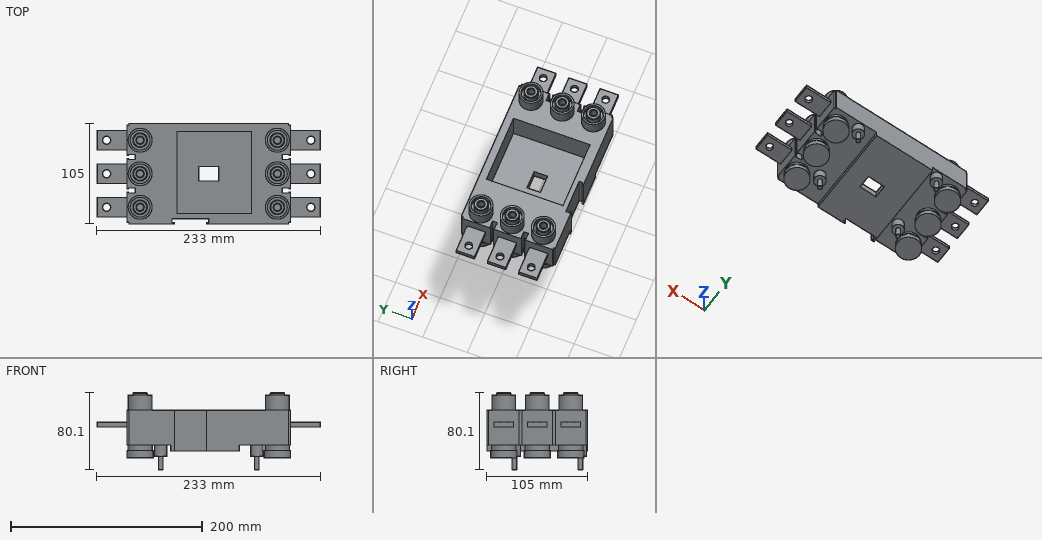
import cadquery as cq

overall_length = 233.0
body_length = 170.5
body_width = 105.0
body_height = 36.5
corner_step_x = 2.0
corner_step_y = 1.9

pad_left = -39.8
pad_right = 32.0
pad_depth = 6.3

pocket_left = -32.9
pocket_right = 44.5
pocket_front = -41.7
pocket_back = 44.0
pocket_floor = 3.5
window_length = 20.5
window_width = 15.0

groove_centre = -19.0
groove_mouth = 33.5
groove_inner = 38.2
groove_lip = 1.6
groove_depth = 5.5

pole_pitch = 35.0
pole_rows = [-pole_pitch, 0.0, pole_pitch]
ends = [-1, 1]

notch_mouth = 3.5
notch_inner = 5.1
notch_lip = 1.6
notch_depth = 8.6

bar_width = 20.5
bar_thickness = 5.1
bar_bottom = 18.9
bar_hole_diameter = 8.2
bar_hole_x = 106.5

post_x = 71.5
cup_diameter = 25.0
cup_bore = 20.7
cup_height = 15.5
cup_bore_depth = 5.1
tube_diameter = 15.1
tube_bore = 7.2
tube_rise = 2.5
tube_chamfer = 0.7
tube_bore_depth = 11.6
neck_diameter = 25.5
neck_height = 5.5
foot_diameter = 27.5
foot_height = 7.7

screw_x = 50.0
screw_rows = [-23.8, 45.0]
boss_diameter = 13.0
boss_height = 11.6
pin_diameter = 5.1
pin_length = 14.0
pin_chamfer = 0.5


def box(x_min, x_max, y_min, y_max, z_min, z_max):
    """Axis-aligned box between two corners."""
    size = (x_max - x_min, y_max - y_min, z_max - z_min)
    return cq.Workplane("XY").box(*size, centered=False).translate((x_min, y_min, z_min))


def cylinder(diameter, z_min, height):
    """Upright cylinder on the Z axis."""
    return cq.Workplane("XY").workplane(offset=z_min).circle(diameter / 2).extrude(height)


def make_block():
    half_length = body_length / 2
    half_width = body_width / 2
    block = box(-half_length, half_length, -half_width, half_width, 0, body_height)
    corner_cuts = (
        cq.Workplane("XY")
        .rect(body_length, body_width, forConstruction=True)
        .vertices()
        .rect(2 * corner_step_x, 2 * corner_step_y)
        .extrude(body_height)
    )
    pad = box(pad_left, pad_right, -half_width, half_width, -pad_depth, body_height)
    return block.cut(corner_cuts).union(pad)


def make_pocket():
    pocket = box(pocket_left, pocket_right, pocket_front, pocket_back, pocket_floor, body_height)
    window = cq.Workplane("XY").workplane(offset=-pad_depth).rect(window_length, window_width)
    return pocket.union(window.extrude(pad_depth + body_height))


def make_front_groove():
    face = -body_width / 2
    back = face + groove_depth

    def slot(width, front):
        left = groove_centre - width / 2
        return box(left, left + width, front, back, -pad_depth, body_height)

    return slot(groove_mouth, face).union(slot(groove_inner, face + groove_lip))


def make_notch(end, y):
    """T-shaped notch in one end face, running the full height of the block."""
    face = body_length / 2
    bottom = face - notch_depth
    mouth = box(bottom, face, y - notch_mouth / 2, y + notch_mouth / 2, 0, body_height)
    inner = box(bottom, face - notch_lip, y - notch_inner / 2, y + notch_inner / 2, 0, body_height)
    notch = mouth.union(inner)
    return notch if end > 0 else notch.mirror("YZ")


def make_bar(end, y):
    """Terminal bar that starts inside the block under its post."""
    bar = box(post_x, overall_length / 2, -bar_width / 2, bar_width / 2, bar_bottom, bar_bottom + bar_thickness)
    hole = cylinder(bar_hole_diameter, bar_bottom, bar_thickness).translate((bar_hole_x, 0, 0))
    bar = bar.cut(hole)
    if end < 0:
        bar = bar.mirror("YZ")
    return bar.translate((0, y, 0))


def make_post():
    cup_top = body_height + cup_height
    cup_floor = cup_top - cup_bore_depth
    tube_top = cup_top + tube_rise
    cup = cylinder(cup_diameter, body_height, cup_height).cut(cylinder(cup_bore, cup_floor, cup_bore_depth))
    tube = cylinder(tube_diameter, cup_floor, cup_bore_depth + tube_rise)
    bore = cylinder(tube_bore, tube_top - tube_bore_depth, tube_bore_depth)
    neck = cylinder(neck_diameter, -neck_height, neck_height)
    foot = cylinder(foot_diameter, -neck_height - foot_height, foot_height)
    upper = cup.union(tube).cut(bore).faces(">Z").edges().chamfer(tube_chamfer)
    return upper, neck.union(foot)


def make_screw():
    boss = cylinder(boss_diameter, -boss_height, boss_height)
    pin = cylinder(pin_diameter, -boss_height - pin_length, pin_length).faces("<Z").chamfer(pin_chamfer)
    return boss.union(pin)


result = make_block().cut(make_pocket()).cut(make_front_groove())

for end in ends:
    for notch_y in [-pole_pitch / 2, pole_pitch / 2]:
        result = result.cut(make_notch(end, notch_y))

post_top, post_foot = make_post()
screw = make_screw()
for end in ends:
    for row in pole_rows:
        result = result.union(make_bar(end, row))
        result = result.union(post_top.translate((end * post_x, row, 0)))
        result = result.union(post_foot.translate((end * post_x, row, 0)))
    for row in screw_rows:
        result = result.union(screw.translate((end * screw_x, row, 0)))